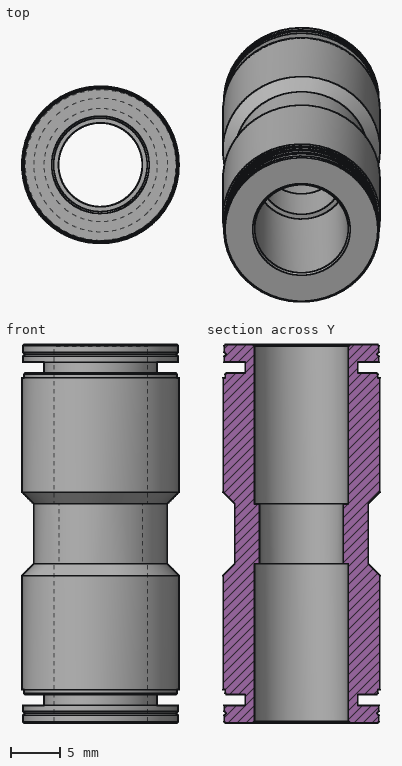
import cadquery as cq

total_length = 38.5
half_length = total_length / 2

body_radius = 16.0 / 2
waist_radius = 13.6 / 2
waist_half_length = 3.05
waist_taper_length = body_radius - waist_radius

rim_radius = 15.6 / 2
rim_length = 0.5
rim_chamfer = 0.14

neck_radius = 11.52 / 2
neck_length = 1.1
flange_radius = 15.8 / 2
flange_thickness = 1.8
flange_chamfer = 0.14
groove_depth = 0.2
groove_center_depth = 1.0

socket_radius = 9.52 / 2
socket_chamfer = 0.2
passage_radius = 8.5 / 2

flange_bottom = half_length - flange_thickness
body_end = flange_bottom - neck_length
groove_center = half_length - groove_center_depth
socket_floor = waist_half_length


def upper_outside():
    """Outer points (radius, height) from the waist up to the end face."""
    return [
        (waist_radius, waist_half_length),
        (body_radius, waist_half_length + waist_taper_length),
        (body_radius, body_end - rim_length),
        (rim_radius, body_end - rim_length),
        (rim_radius, body_end - rim_chamfer),
        (rim_radius - rim_chamfer, body_end),
        (neck_radius, body_end),
        (neck_radius, flange_bottom),
        (flange_radius, flange_bottom),
        (flange_radius, groove_center - groove_depth),
        (flange_radius - groove_depth, groove_center),
        (flange_radius, groove_center + groove_depth),
        (flange_radius, half_length - flange_chamfer),
        (flange_radius - flange_chamfer, half_length),
    ]


def upper_inside():
    """Bore points (radius, height) from the end face down to the tube stop."""
    return [
        (socket_radius + socket_chamfer, half_length),
        (socket_radius, half_length - socket_chamfer),
        (socket_radius, socket_floor),
        (passage_radius, socket_floor),
    ]


def mirrored(points):
    """The points reflected in the middle plane, in reverse order."""
    return [(radius, -height) for radius, height in reversed(points)]


upper_half = upper_outside() + upper_inside()
section = upper_half + mirrored(upper_half)

result = cq.Workplane("XZ").polyline(section).close().revolve(360, (0, 0), (0, 1))